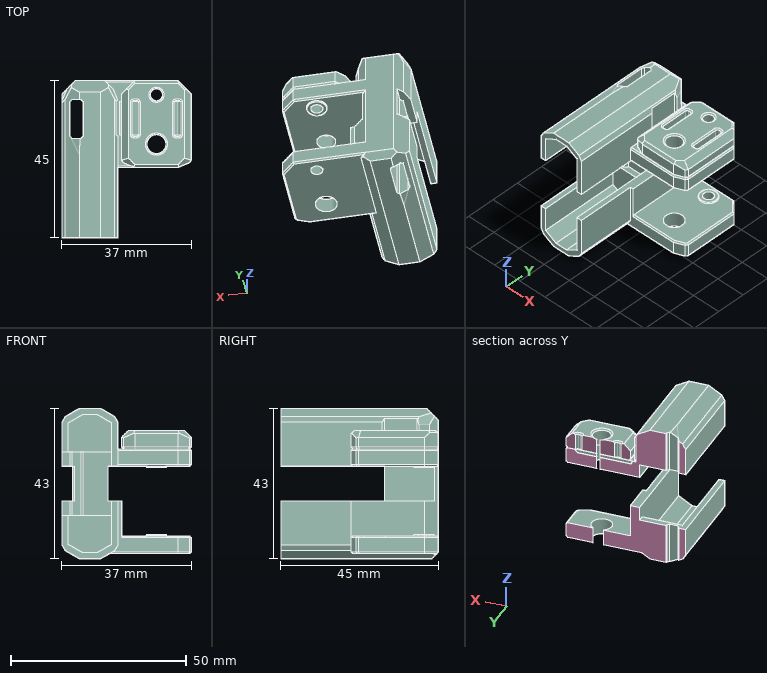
import cadquery as cq
import math


length = 45.0
half_width = 8.0
half_height = 21.492
crown_half = 3.04
shoulder = 0.95
crown_slope = math.radians(30)
shoulder_slope = math.radians(60)

bore_half_width = 6.2
bore_half_height = 19.7
bore_crown_half = 2.095
bore_depth = 27.65
pocket_depth = 29.55
pocket_half = 9.1
gap_half = 4.95
right_gap_x = 5.18
left_gap_x = -4.95
left_gap_bevel = 0.563

top_back_chamfer = 3.38
bottom_back_chamfer = 1.9
corner_chamfer = 3.9
facet_start_y = 39.1
facet_angle = math.radians(22.5)
facet_lean_z = 16.9
facet_lean = math.radians(17)

slot_left = -5.75
slot_right = -2.0
slot_front = 28.45
slot_back = 39.47
slot_bevel = 0.65
mouth_facet_length = 4.6
mouth_facet_left = 2.3
mouth_facet_right = 0.23

plate_end_x = 29.0
plate_root_x = 3.6
plate_front = 20.07
plate_thickness = 5.0
plate_edge = 0.45
upper_plate_z = gap_half
lower_plate_z = -20.0
web_x = 9.1
relief_x = 7.4
relief_front = 28.95
relief_back = 39.5

groove_left = 8.45
groove_front = 29.45
groove_back = 38.95
groove_depth = 1.0
groove_bevel = 0.4

front_facet_run = 3.85
front_facet_mid_run = 0.55
front_facet_mid_rise = 1.4
front_facet_rise = 2.15

hole_diameter = 5.4
lower_hole_diameter = 6.2
hole_y = 26.8
small_hole_diameter = 3.4
small_hole_y = 40.85
rim_chamfer = 0.45
boss_diameter = 5.95
boss_tip_diameter = 5.65
boss_height = 0.4

cap_left = 9.0
cap_thickness = 5.2
cap_side_chamfer = 2.0
cap_end_chamfer = 0.9
cap_corner_cut = 1.8
cap_corner_slope = 1.3
cap_slot_offset = 6.05
cap_slot_width = 2.0
cap_slot_length = 10.25
cap_slot_radius = 0.68
cap_slot_y = 34.1

cap_center_x = (cap_left + plate_end_x) / 2
cap_z = upper_plate_z + plate_thickness
cap_top = cap_z + cap_thickness
big = 2 * length


def half_space(point, normal):
    """Large block that fills the side of a plane its normal points to."""
    return cq.Workplane(cq.Plane(origin=point, normal=normal)).rect(big, big).extrude(big)


def block(x0, x1, y0, y1, z0, z1):
    return cq.Workplane("XY").box(x1 - x0, y1 - y0, z1 - z0, centered=False).translate((x0, y0, z0))


def prism(outline, z0, z1):
    return cq.Workplane("XY").workplane(offset=z0).polyline(outline).close().extrude(z1 - z0)


def along_channel(right_upper, depth):
    """Prism along +Y whose section mirrors the upper right points about X and Z."""
    upper = right_upper + [(-x, z) for x, z in reversed(right_upper)]
    outline = upper + [(-x, -z) for x, z in upper]
    return cq.Workplane("XZ").polyline(outline).close().extrude(-depth)


def channel_body():
    shoulder_x = half_width - shoulder
    shoulder_z = half_height - (shoulder_x - crown_half) * math.tan(crown_slope)
    side_z = shoulder_z - shoulder * math.tan(shoulder_slope)
    section = [(half_width, side_z), (shoulder_x, shoulder_z), (crown_half, half_height)]
    body = along_channel(section, length)
    body = body.cut(half_space((0, length - top_back_chamfer, half_height), (0, 1, 1)))
    body = body.cut(half_space((0, length - bottom_back_chamfer, -half_height), (0, 1, -1)))
    for side in (-1, 1):
        body = cut_back_corner(body, side)
    return body


def cut_back_corner(body, side):
    """45 degree corner over the full height, and a longer facet that leans in over the upper half."""
    edge_x = side * half_width
    body = body.cut(half_space((edge_x, length - corner_chamfer, 0), (side, 1, 0)))
    across = side * math.cos(facet_angle)
    back = math.sin(facet_angle)
    upright = half_space((edge_x, facet_start_y, 0), (across, back, 0))
    upper_half = block(-big, big, 0, big, gap_half, big)
    body = body.cut(upright.intersect(upper_half))
    level = math.cos(facet_lean)
    lean_normal = (across * level, back * level, math.sin(facet_lean))
    return body.cut(half_space((edge_x, facet_start_y, facet_lean_z), lean_normal))


def front_corner(edge_x, side):
    """Points of a front corner from the front face round to the side face."""
    return [
        (edge_x - side * front_facet_run, plate_front),
        (edge_x - side * front_facet_mid_run, plate_front + front_facet_mid_rise),
        (edge_x, plate_front + front_facet_rise),
    ]


def back_corner(edge_x, side):
    """Points of a back corner from the side face round to the back face."""
    return [(edge_x, length - corner_chamfer), (edge_x - side * corner_chamfer, length)]


def plate(z):
    outline = [(plate_root_x, plate_front)] + front_corner(plate_end_x, 1)
    outline += back_corner(plate_end_x, 1) + [(plate_root_x, length)]
    slab = prism(outline, z, z + plate_thickness)
    return slab.faces("<Z or >Z").chamfer(plate_edge)


def boss(z, direction):
    """Low tapered boss around the small hole, on the inner face of a plate."""
    base_plane = cq.Plane(origin=(cap_center_x, small_hole_y, z), normal=(0, 0, direction))
    base = cq.Workplane(base_plane).circle(boss_diameter / 2)
    return base.workplane(offset=boss_height).circle(boss_tip_diameter / 2).loft()


def bevelled_slot(x0, x1, y0, y1, z0, z1):
    return block(x0, x1, y0, y1, z0, z1).edges("|Z").chamfer(slot_bevel)


def mouth_facet(side):
    """Thin wedge that shaves the ridge beside the crown in front of the slot; side is +1 up, -1 down."""
    top = side * half_height
    apex = cq.Vector(-crown_half, slot_front - mouth_facet_length, top)
    ridge = cq.Vector(-crown_half, slot_front, top)
    low = ridge + cq.Vector(-mouth_facet_left, 0, -side * mouth_facet_left * math.tan(crown_slope))
    high = ridge + cq.Vector(mouth_facet_right, 0, 0)
    corners = [(apex, low, high), (apex, ridge, low), (apex, high, ridge), (ridge, high, low)]
    faces = [cq.Face.makeFromWires(cq.Wire.makePolygon(list(c), close=True)) for c in corners]
    return cq.Workplane(cq.Solid.makeSolid(cq.Shell.makeShell(faces)))


def cut_channel(body):
    bore_side_z = bore_half_height - (bore_half_width - bore_crown_half) * math.tan(crown_slope)
    section = [(bore_half_width, bore_side_z), (bore_crown_half, bore_half_height)]
    body = body.cut(along_channel(section, bore_depth))
    body = body.cut(block(-half_width, bore_half_width, 0, pocket_depth, -pocket_half, pocket_half))
    body = body.cut(block(right_gap_x, web_x, 0, length, -gap_half, gap_half))
    bevel_x = left_gap_x + left_gap_bevel
    left_gap = [
        (-half_width, 0),
        (bevel_x, 0),
        (bevel_x, slot_back),
        (left_gap_x, slot_back + left_gap_bevel),
        (left_gap_x, length),
        (-half_width, length),
    ]
    return body.cut(prism(left_gap, -gap_half, gap_half))


def drill(body, diameter, y, bottom, top):
    hole = cq.Workplane("XY", origin=(cap_center_x, y, bottom)).circle(diameter / 2)
    return body.cut(hole.extrude(top - bottom))


def strap_groove():
    """Flat groove that ends on the right in a quarter round below the right slot of the cap."""
    right = cap_center_x + cap_slot_offset + cap_slot_width / 2
    floor = cap_z - groove_depth
    bend_x = right - groove_depth
    bend_mid = groove_depth * math.sqrt(0.5)
    section = (
        cq.Workplane("XZ", origin=(0, groove_front, 0))
        .moveTo(groove_left, cap_z)
        .lineTo(groove_left + groove_bevel, floor)
        .lineTo(bend_x, floor)
        .threePointArc((bend_x + bend_mid, cap_z - bend_mid), (right, cap_z))
        .close()
    )
    return section.extrude(groove_front - groove_back)


def make_housing():
    body = channel_body()
    body = body.union(plate(upper_plate_z)).union(plate(lower_plate_z))
    lower_plate_top = lower_plate_z + plate_thickness
    web_bottom = lower_plate_top - plate_edge
    web_back = length - corner_chamfer
    body = body.union(block(bore_half_width, web_x, plate_front, web_back, web_bottom, -gap_half))
    body = cut_channel(body)
    body = body.union(boss(upper_plate_z, -1)).union(boss(lower_plate_top, 1))
    body = body.cut(bevelled_slot(slot_left, slot_right, slot_front, slot_back, -half_height, half_height))
    body = body.cut(bevelled_slot(relief_x, cap_left, relief_front, relief_back, cap_z, half_height))
    body = body.cut(strap_groove())
    for side in (-1, 1):
        body = body.cut(mouth_facet(side))
    body = drill(body, hole_diameter, hole_y, 0, cap_z)
    body = drill(body, lower_hole_diameter, hole_y, lower_plate_z, 0)
    return drill(body, small_hole_diameter, small_hole_y, lower_plate_z, cap_z)


def cap_blank():
    outline = front_corner(cap_left, -1)[::-1] + front_corner(plate_end_x, 1)
    outline += back_corner(plate_end_x, 1) + back_corner(cap_left, -1)[::-1]
    return prism(outline, cap_z, cap_top).faces("<Z").chamfer(plate_edge)


def bevel_cap_top(cap):
    top_half_x = (plate_end_x - cap_left) / 2 - cap_side_chamfer
    for side in (-1, 1):
        cap = cap.cut(half_space((cap_center_x + side * top_half_x, 0, cap_top), (side, 0, 1)))
    top_ends = ((plate_front + cap_end_chamfer, -1), (length - cap_end_chamfer, 1))
    for end_y, end in top_ends:
        cap = cap.cut(half_space((0, end_y, cap_top), (0, end, 1)))
        for side in (-1, 1):
            corner_x = cap_center_x + side * (top_half_x - cap_corner_cut)
            cap = cap.cut(half_space((corner_x, end_y, cap_top), (side, end, cap_corner_slope)))
    return cap


def make_cap():
    cap = bevel_cap_top(cap_blank())
    cap = drill(cap, hole_diameter, hole_y, cap_z, cap_top)
    cap = drill(cap, small_hole_diameter, small_hole_y, cap_z, cap_top)
    for side in (-1, 1):
        slot_x = cap_center_x + side * cap_slot_offset
        half = cap_slot_width / 2
        y0 = cap_slot_y - cap_slot_length / 2
        slot = block(slot_x - half, slot_x + half, y0, y0 + cap_slot_length, cap_z, cap_top)
        cap = cap.cut(slot.edges("|Z").fillet(cap_slot_radius))
    openings = cap.faces(">Z").val().innerWires()
    rims = [edge for wire in openings for edge in wire.Edges()]
    return cq.Workplane(cap.val().chamfer(rim_chamfer, None, rims))


housing = make_housing()
cap = make_cap()
result = cq.Compound.makeCompound([*housing.vals(), *cap.vals()])